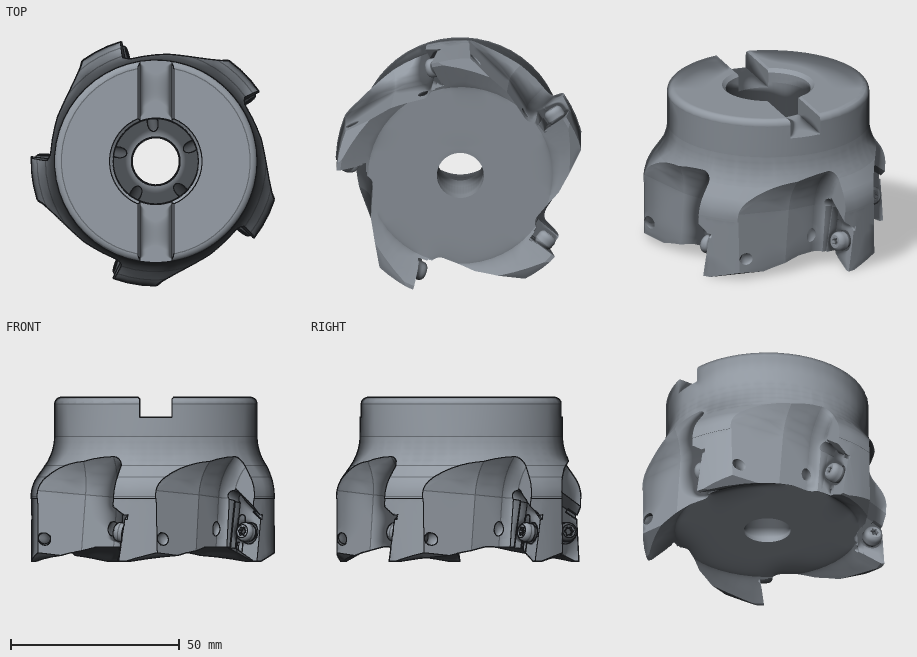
import cadquery as cq
import math

tooth_count = 5
tooth_pitch = 360 / tooth_count
height = 48.6
tooth_radius = 36.95
land_radius = 36.8
land_top = 18.55
shoulder_start = 19.2
rim_arc_radius = 10.0
neck_arc_radius = 15.0
neck_top = 37.0
hub_radius = 30.0
hub_round = 2.0
bore_radius = 12.6
bore_chamfer = 1.1
bore_floor = 22.6
bore_recess_radius = 12.8
bore_recess_bottom = 32.45
bore_recess_top = 44.4
through_radius = 6.95
through_chamfer = 0.3
face_recess_depth = 4.3
face_recess_radius = 27.3
face_cone_radius = 35.65
slot_width = 9.5
slot_depth = 5.9
slot_chamfer = 0.6
overcut = 0.7

tooth_azimuth = 248
flute_lean = 4.5
flute_bend_height = 18.8
flute_bend_radius = 15.8
flute_floor = 26.5
flute_root_floor = 25.9
flute_face_offset = 1.4
flute_root_radius = 3.25
flute_crest = 11.75
flute_end = 33.3
flute_floor_slope = 0.17
flute_outer = 40.6
relief_turn = 40
relief_slope = 0.47
relief_start = 27.3
relief_length = 14.5
relief_side_start = -2.9
relief_side_end = 29.0

seat_lean = 9.0
seat_radius = 32.25
seat_offset = 4.2
seat_height = 8.3
pocket_depth = 5.8
pocket_inner = 4.3
pocket_step_width = 0.35
pocket_step_height = 2.3
pocket_outer = 8.7
pocket_bottom = 11.6
pocket_wall_height = 8.05
pocket_wall_slope = 0.7
pocket_wall_draft = 3.4
corner_hole = (-3.4, 10.4)
corner_hole_radius = 1.6
groove_start = (1.7, 7.25)
groove_length = 5.1
groove_width = 1.1
groove_depth = 0.7
clearance_x = -3.05
clearance_top = 4.3
clearance_radius = 1.3
clearance_depth = 0.15
heel_width = 0.95
heel_top = 2.7
heel_depth = 0.6

coolant_inlet_azimuth = 238.5
coolant_exit_azimuth = 241.2
coolant_radius = 1.6
coolant_exit_radius = 26.75
coolant_exit_height = 9.05
coolant_inlet_radius = 11.3
coolant_overrun = 2.9

screw_radius = 32.75
screw_turn = 4
shank_radius = 1.8
shank_length = 8.7
screw_hole_length = 14.5
head_seat_depth = 1.45
head_radius = 2.8
head_rim_bottom = 0.9
head_rim_top = 2.2
head_top = 3.85
head_top_radius = 1.95
dome_bulge = 0.2
countersink_radius = 3.2
countersink_depth = 0.4
socket_radius = 1.0
socket_lobe_radius = 0.325
socket_lobes = 6
socket_depth = 1.45


def direction(azimuth, elevation=0):
    """Unit vector at the given horizontal and vertical angles in degrees."""
    a, e = math.radians(azimuth), math.radians(elevation)
    return cq.Vector(math.cos(a) * math.cos(e), math.sin(a) * math.cos(e), math.sin(e))


radial = direction(tooth_azimuth)
facing = direction(tooth_azimuth - 90)


def around(shape):
    """Copies of a shape at every tooth."""
    return [shape.rotate((0, 0, 0), (0, 0, 1), i * tooth_pitch) for i in range(tooth_count)]


seat_plane = cq.Plane(
    origin=(radial * seat_radius - facing * seat_offset + cq.Vector(0, 0, seat_height)).toTuple(),
    xDir=radial.toTuple(),
    normal=direction(tooth_azimuth - 90, seat_lean).toTuple(),
)
seat_to_screw = screw_radius - seat_radius
screw_plane = cq.Plane(
    origin=seat_plane.toWorldCoords((seat_to_screw, 0, 0)).toTuple(),
    xDir=seat_plane.xDir.toTuple(),
    normal=seat_plane.zDir.toTuple(),
).rotated((0, screw_turn, 0))


def seat_workplane(offset=0):
    return cq.Workplane(seat_plane).workplane(offset=offset)


def screw_workplane(offset=0):
    return cq.Workplane(screw_plane).workplane(offset=offset)


def turned_blank():
    """Hub, flared neck and rim, with the stepped bore and the recessed cutting end."""
    drop = neck_top - shoulder_start
    flare = tooth_radius - hub_radius
    radius_sum = neck_arc_radius + rim_arc_radius
    reach = math.hypot(radius_sum - flare, drop)
    cone_angle = math.atan2(drop, radius_sum - flare) - math.acos(radius_sum / reach)

    def neck_point(angle):
        return (
            hub_radius + neck_arc_radius * (1 - math.cos(angle)),
            neck_top - neck_arc_radius * math.sin(angle),
        )

    def rim_point(angle):
        return (
            tooth_radius - rim_arc_radius * (1 - math.cos(angle)),
            shoulder_start + rim_arc_radius * math.sin(angle),
        )

    round_offset = hub_round * (1 - math.sqrt(0.5))
    return (
        cq.Workplane("XZ")
        .moveTo(through_radius, face_recess_depth)
        .lineTo(face_recess_radius, face_recess_depth)
        .lineTo(face_cone_radius, 0)
        .lineTo(land_radius, 0)
        .lineTo(land_radius, land_top)
        .lineTo(tooth_radius, land_top)
        .lineTo(*rim_point(0))
        .threePointArc(rim_point(cone_angle / 2), rim_point(cone_angle))
        .lineTo(*neck_point(cone_angle))
        .threePointArc(neck_point(cone_angle / 2), neck_point(0))
        .lineTo(hub_radius, height - hub_round)
        .threePointArc(
            (hub_radius - round_offset, height - round_offset),
            (hub_radius - hub_round, height),
        )
        .lineTo(bore_radius + bore_chamfer, height)
        .lineTo(bore_radius, height - bore_chamfer)
        .lineTo(bore_radius, bore_recess_top)
        .lineTo(bore_recess_radius, bore_recess_top)
        .lineTo(bore_recess_radius, bore_recess_bottom)
        .lineTo(bore_radius, bore_recess_bottom)
        .lineTo(bore_radius, bore_floor)
        .lineTo(through_radius + through_chamfer, bore_floor)
        .lineTo(through_radius, bore_floor - through_chamfer)
        .close()
        .revolve(360, (0, 0), (0, 1))
    )


def drive_slot():
    """Chamfered key slot across the hub face."""
    half = slot_width / 2
    return (
        cq.Workplane("XZ")
        .moveTo(-half, height - slot_depth)
        .lineTo(half, height - slot_depth)
        .lineTo(half, height - slot_chamfer)
        .lineTo(half + slot_chamfer, height)
        .lineTo(-half - slot_chamfer, height)
        .lineTo(-half, height - slot_chamfer)
        .close()
        .extrude(hub_radius + overcut, both=True)
    )


def flute():
    """Chip space: straight below the bend height, curving outward above it."""
    lean_facing = direction(tooth_azimuth - 90, flute_lean)
    plane = cq.Plane(
        origin=(0, 0, flute_bend_height),
        xDir=radial.toTuple(),
        normal=lean_facing.cross(radial).toTuple(),
    )
    root = flute_root_radius
    arc_inset = root * (1 - math.sqrt(0.5))
    slope_drop = (flute_end - flute_crest) * flute_floor_slope
    profile = (
        cq.Workplane(plane)
        .moveTo(flute_outer, flute_face_offset)
        .lineTo(flute_root_floor + root, flute_face_offset)
        .threePointArc(
            (flute_root_floor + arc_inset, flute_face_offset - arc_inset),
            (flute_root_floor, flute_face_offset - root),
        )
        .lineTo(flute_floor, -flute_crest)
        .lineTo(flute_floor - slope_drop, -flute_end)
        .lineTo(flute_outer, -flute_end)
        .close()
    )
    bend_axis = flute_floor + flute_bend_radius
    straight = profile.extrude(-height)
    curved = profile.toPending().revolve(90, (bend_axis, 0), (bend_axis, 1))
    return straight.union(curved)


def tooth_relief():
    """Wedge that lifts the tooth bottom behind its cutting edge."""
    uphill_azimuth = tooth_azimuth + 90 - relief_turn
    sideways = direction(uphill_azimuth - 90)
    plane = cq.Plane(
        origin=(sideways * relief_side_start).toTuple(),
        xDir=direction(uphill_azimuth).toTuple(),
        normal=sideways.toTuple(),
    )
    return (
        cq.Workplane(plane)
        .moveTo(relief_start, 0)
        .lineTo(relief_start + relief_length, relief_length * relief_slope)
        .lineTo(relief_start + relief_length, -overcut)
        .lineTo(relief_start, -overcut)
        .close()
        .extrude(relief_side_end - relief_side_start)
    )


def pocket():
    """Insert pocket: stepped inner wall, sloped upper wall, corner relief, groove and clearances."""
    corner_x, corner_y = corner_hole
    wall_start = corner_x + corner_hole_radius / 2

    def outline(rise):
        def wall(x):
            return pocket_wall_height + rise - pocket_wall_slope * x

        return [
            (-pocket_inner, -pocket_bottom),
            (-pocket_inner, corner_y),
            (wall_start, wall(wall_start)),
            (pocket_outer, wall(pocket_outer)),
            (pocket_outer, -pocket_bottom),
        ]

    main = (
        seat_workplane()
        .polyline(outline(0))
        .close()
        .workplane(offset=pocket_depth)
        .polyline(outline(pocket_wall_draft))
        .close()
        .loft(ruled=True)
    )
    step = (
        seat_workplane(pocket_step_height)
        .center(-pocket_inner, -pocket_bottom)
        .rect(-pocket_step_width, pocket_bottom + corner_y, centered=False)
        .extrude(pocket_depth - pocket_step_height)
    )
    corner = seat_workplane().center(*corner_hole).circle(corner_hole_radius).extrude(pocket_depth)
    groove = (
        seat_workplane(-groove_depth)
        .center(*groove_start)
        .transformed(rotate=(0, 0, -math.degrees(math.atan(pocket_wall_slope))))
        .rect(groove_length, -groove_width, centered=False)
        .extrude(2 * groove_depth)
    )
    clearance_length = clearance_top + pocket_bottom
    clearance = (
        seat_workplane(-clearance_depth)
        .center(clearance_x, clearance_top)
        .circle(clearance_radius)
        .extrude(2 * clearance_depth)
        .union(
            seat_workplane(-clearance_depth)
            .center(clearance_x, clearance_top - clearance_length / 2)
            .rect(2 * clearance_radius, clearance_length)
            .extrude(2 * clearance_depth)
        )
    )
    heel = (
        seat_workplane(-heel_depth)
        .center(-pocket_inner, -heel_top)
        .rect(heel_width, heel_top - pocket_bottom, centered=False)
        .extrude(2 * heel_depth)
    )
    return main.union(step).union(corner).union(groove).union(clearance).union(heel)


def screw_hole():
    """Through hole with a seat for the screw head."""
    countersink = (
        screw_workplane(-countersink_depth).circle(countersink_radius).extrude(2 * countersink_depth)
    )
    return (
        screw_workplane(-screw_hole_length)
        .circle(shank_radius)
        .extrude(screw_hole_length)
        .union(countersink)
        .union(screw_blank())
    )


def coolant_hole():
    """Slanted hole from the bore floor to the flute."""
    inlet = direction(coolant_inlet_azimuth) * coolant_inlet_radius + cq.Vector(0, 0, bore_floor)
    outlet = direction(coolant_exit_azimuth) * coolant_exit_radius + cq.Vector(0, 0, coolant_exit_height)
    axis = (outlet - inlet).normalized()
    length = (outlet - inlet).Length + 2 * coolant_overrun
    start = inlet - axis * coolant_overrun
    return cq.Workplane(cq.Solid.makeCylinder(coolant_radius, length, start, axis))


def screw_blank():
    """Turned shape of the clamping screw in the first seat."""
    return (
        screw_workplane()
        .circle(shank_radius)
        .extrude(-shank_length)
        .union(screw_head())
    )


def screw_head():
    """Cone under the rim and a domed top, revolved about the screw axis."""
    plane = cq.Plane(
        origin=screw_plane.origin.toTuple(),
        xDir=screw_plane.xDir.toTuple(),
        normal=(screw_plane.yDir * -1).toTuple(),
    )
    dome_middle = (
        (head_radius + head_top_radius) / 2 + dome_bulge,
        (head_rim_top + head_top) / 2 + dome_bulge,
    )
    return (
        cq.Workplane(plane)
        .moveTo(0, -head_seat_depth)
        .lineTo(shank_radius, -head_seat_depth)
        .lineTo(head_radius, head_rim_bottom)
        .lineTo(head_radius, head_rim_top)
        .threePointArc(dome_middle, (head_top_radius, head_top))
        .lineTo(0, head_top)
        .close()
        .revolve(360, (0, 0), (0, 1))
    )


def screw():
    """Clamping screw with a six-lobed socket."""
    base = screw_workplane(head_top - socket_depth)
    socket = base.circle(socket_radius).extrude(socket_depth).union(
        base.polarArray(socket_radius, 0, 360, socket_lobes).circle(socket_lobe_radius).extrude(socket_depth)
    )
    return screw_blank().cut(socket)


body = turned_blank().cut(drive_slot())
for feature in (flute(), tooth_relief(), pocket(), screw_hole(), coolant_hole()):
    for copy in around(feature):
        body = body.cut(copy)

screws = around(screw())

result = cq.Compound.makeCompound([body.val(), *[s.val() for s in screws]])